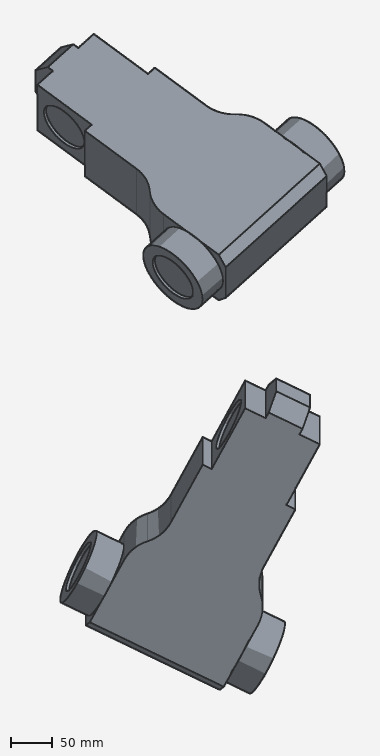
import cadquery as cq

length = 368.0
overall_width = 254.0
body_height = 94.2

tongue_width = 45.5
neck_width = 101.0
shank_width = 125.0
wide_width = 180.7

neck_start = 28.0
shank_start = 115.5
flare_start = 198.7
flare_end = 267.5

tongue_chamfer_length = 20.0
tongue_chamfer_drop = 25.5
rear_chamfer_length = 11.0
rear_chamfer_drop = 15.5

trunnion_diameter = 96.0
trunnion_x = 315.7
recess_diameter = 65.0
recess_depth = 4.0
neck_recess_x = 71.0


def plan_body():
    """Stepped body with an S-shaped flare of two equal tangent arcs on each side."""
    neck = neck_width / 2
    shank = shank_width / 2
    wide = wide_width / 2

    flare_middle_x = (flare_start + flare_end) / 2
    flare_middle_y = (shank + wide) / 2

    half = (
        cq.Workplane("XY", origin=(0, 0, -body_height / 2))
        .moveTo(0, 0)
        .lineTo(0, tongue_width / 2)
        .lineTo(neck_start, tongue_width / 2)
        .lineTo(neck_start, neck)
        .lineTo(shank_start, neck)
        .lineTo(shank_start, shank)
        .lineTo(flare_start, shank)
        .tangentArcPoint((flare_middle_x, flare_middle_y), relative=False)
        .tangentArcPoint((flare_end, wide), relative=False)
        .lineTo(length, wide)
        .lineTo(length, 0)
        .close()
        .extrude(body_height)
    )
    return half.union(half.mirror("XZ"))


def side_profile():
    """Side outline with chamfered ends, extruded across the full width."""
    top = body_height / 2
    tongue_tip = top - tongue_chamfer_drop
    rear_tip = top - rear_chamfer_drop
    rear_chamfer_x = length - rear_chamfer_length
    return (
        cq.Workplane("XZ")
        .polyline([
            (0, -tongue_tip),
            (0, tongue_tip),
            (tongue_chamfer_length, top),
            (rear_chamfer_x, top),
            (length, rear_tip),
            (length, -rear_tip),
            (rear_chamfer_x, -top),
            (tongue_chamfer_length, -top),
        ])
        .close()
        .extrude(overall_width / 2, both=True)
    )


def cross_cylinder(x, diameter, start_y, height):
    """Cylinder along +Y, starting at start_y."""
    return cq.Workplane(cq.Solid.makeCylinder(
        diameter / 2, height, cq.Vector(x, start_y, 0), cq.Vector(0, 1, 0)
    ))


def trunnion(side):
    """Round boss on one side of the wide end; side is +1 or -1 along Y."""
    boss_length = (overall_width - wide_width) / 2
    inner_y = wide_width / 2
    start_y = inner_y if side > 0 else -inner_y - boss_length
    return cross_cylinder(trunnion_x, trunnion_diameter, start_y, boss_length)


def recess(x, face_width, side):
    """Shallow round pocket sunk into a side face; side is +1 or -1 along Y."""
    face_y = face_width / 2
    start_y = face_y - recess_depth if side > 0 else -face_y
    return cross_cylinder(x, recess_diameter, start_y, recess_depth)


result = plan_body().intersect(side_profile())
for side in (-1, 1):
    result = result.union(trunnion(side))
    result = result.cut(recess(trunnion_x, overall_width, side))
    result = result.cut(recess(neck_recess_x, neck_width, side))